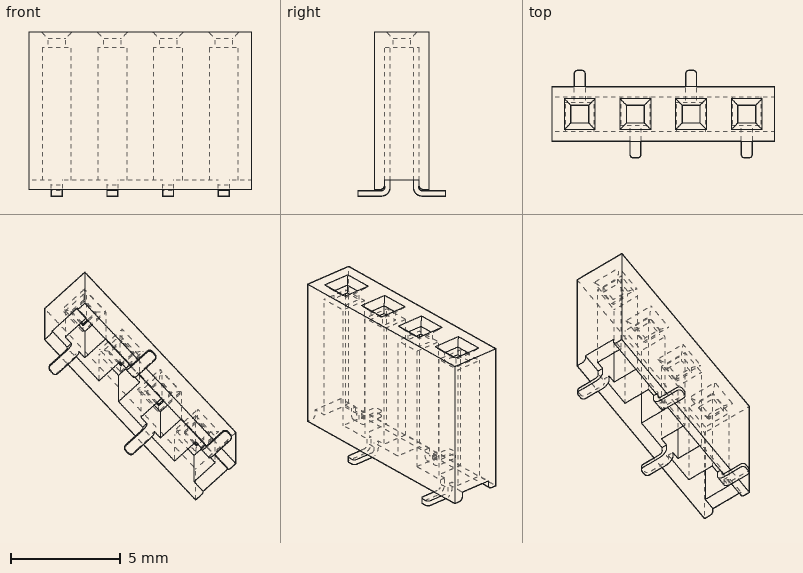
import cadquery as cq

length = 10.16
depth = 2.5
total_height = 7.5
standoff = 0.3

channel_half = 0.78
channel_roof = 0.73
channel_edge_radius = 0.2

socket_count = 4
pitch = 2.54
mouth_size = 1.4
throat_size = 0.8
funnel_depth = 0.3
throat_depth = 0.41
cavity_width = 1.31

lead_width = 0.51
lead_thickness = 0.25
lead_reach = 2.0
inner_bend_radius = 0.15
tip_radius = 0.16

selection_margin = 0.01

lead_inner_face = channel_half - lead_thickness
outer_bend_radius = inner_bend_radius + lead_thickness
funnel_floor = total_height - funnel_depth
cavity_roof = funnel_floor - throat_depth


def make_housing():
    """Plain block with a round-edged channel running under its full length."""
    block = cq.Workplane("XY", origin=(0, 0, standoff)).box(
        length, depth, total_height - standoff, centered=(True, True, False)
    )
    channel = cq.Workplane("XY", origin=(0, 0, standoff)).box(
        length, 2 * channel_half, channel_roof - standoff, centered=(True, True, False)
    )
    lower_channel_edges = cq.selectors.BoxSelector(
        (-length, -channel_half - selection_margin, standoff - selection_margin),
        (length, channel_half + selection_margin, standoff + selection_margin),
    )
    return block.cut(channel).edges("|X").edges(lower_channel_edges).fillet(channel_edge_radius)


def make_socket(x, side):
    """Funnel, square throat and contact cavity; the cavity is shallower on the lead's side."""
    funnel = (
        cq.Workplane("XY", origin=(x, 0, funnel_floor))
        .rect(throat_size, throat_size)
        .workplane(offset=funnel_depth)
        .rect(mouth_size, mouth_size)
        .loft(ruled=True)
    )
    throat = cq.Workplane("XY", origin=(x, 0, cavity_roof)).box(
        throat_size, throat_size, throat_depth, centered=(True, True, False)
    )
    cavity_middle = side * (lead_inner_face - channel_half) / 2
    cavity = cq.Workplane("XY", origin=(x, cavity_middle, channel_roof)).box(
        cavity_width,
        lead_inner_face + channel_half,
        cavity_roof - channel_roof,
        centered=(True, True, False),
    )
    return funnel.union(throat).union(cavity)


def make_lead(x, side):
    """Gull-wing lead: down the channel wall, round the bend and outward to a rounded tip."""
    bend_start = channel_half + inner_bend_radius
    lead = (
        cq.Workplane("YZ", origin=(x, 0, 0))
        .moveTo(lead_inner_face, channel_roof)
        .lineTo(lead_inner_face, outer_bend_radius)
        .radiusArc((bend_start, 0), -outer_bend_radius)
        .lineTo(lead_reach, 0)
        .lineTo(lead_reach, lead_thickness)
        .lineTo(bend_start, lead_thickness)
        .radiusArc((channel_half, outer_bend_radius), inner_bend_radius)
        .lineTo(channel_half, channel_roof)
        .close()
        .extrude(lead_width / 2, both=True)
    )
    lead = lead.faces(">Y").edges("|Z").fillet(tip_radius)
    if side < 0:
        lead = lead.mirror("XZ")
    return lead


result = make_housing()
for index in range(socket_count):
    socket_x = (index - (socket_count - 1) / 2) * pitch
    lead_side = 1 if index % 2 == 0 else -1
    result = result.cut(make_socket(socket_x, lead_side))
    result = result.union(make_lead(socket_x, lead_side))